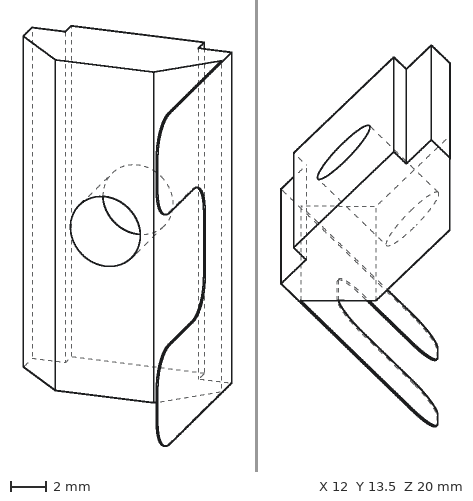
import cadquery as cq

width = 12.0
length = 20.0
rib_width = 8.0
rib_depth = 1.0
flange_depth = 1.5
bevel = 3.0
hole_diameter = 4.2

plate_thickness = 0.1
arm_reach = 8.0
arm_width = 6.0
corner_radius = 2.0

half_width = width / 2
flange_back = -rib_depth
flange_front = flange_back - flange_depth
body_front = flange_front - bevel
plate_front = body_front - arm_reach
plate_inner_face = half_width - plate_thickness
notch_width = length - 2 * arm_width


def make_body():
    """Beveled body with a raised rib on its back and a through hole.

    The +X bevel starts at the inner face of the spring plate.
    """
    half_rib = rib_width / 2
    profile = [
        (-half_rib, 0),
        (half_rib, 0),
        (half_rib, flange_back),
        (half_width, flange_back),
        (half_width, flange_front),
        (plate_inner_face, flange_front),
        (plate_inner_face - bevel, body_front),
        (-half_width + bevel, body_front),
        (-half_width, flange_front),
        (-half_width, flange_back),
        (-half_rib, flange_back),
    ]
    body = cq.Workplane("XY").polyline(profile).close().extrude(length / 2, both=True)
    hole = cq.Workplane("XZ").circle(hole_diameter / 2).extrude(-body_front)
    return body.cut(hole)


def make_plate():
    """Spring plate with a central notch and rounded arm and notch corners."""
    half_length = length / 2
    half_notch = notch_width / 2
    outline = [
        (flange_back, -half_length),
        (plate_front, -half_length),
        (plate_front, -half_notch),
        (body_front, -half_notch),
        (body_front, half_notch),
        (plate_front, half_notch),
        (plate_front, half_length),
        (flange_back, half_length),
    ]
    plate = (
        cq.Workplane("YZ", origin=(plate_inner_face, 0, 0))
        .polyline(outline)
        .close()
        .extrude(plate_thickness)
    )
    return plate.edges("|X").edges("not(>Y)").fillet(corner_radius)


result = make_body().union(make_plate())